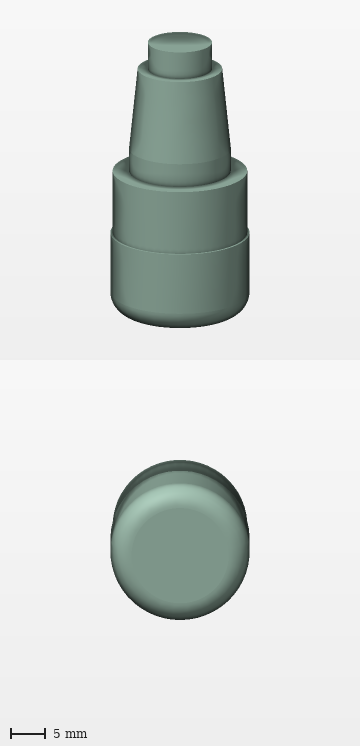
import cadquery as cq

TOTAL_HEIGHT = 40.8
COLLAR_TOP = 12.0
BARREL_TOP = 21.35
NECK_TOP = 24.75
STUB_LENGTH = 4.0
TAPER_TOP = TOTAL_HEIGHT - STUB_LENGTH

COLLAR_DIAMETER = 20.0
BARREL_DIAMETER = 19.35
NECK_DIAMETER = 14.6
TAPER_TOP_DIAMETER = 12.15
STUB_DIAMETER = 9.22

BASE_FILLET = 3.0


def make_housing():
    """Stepped round housing with a tapered top and a rounded base."""
    collar_radius = COLLAR_DIAMETER / 2
    barrel_radius = BARREL_DIAMETER / 2
    neck_radius = NECK_DIAMETER / 2
    profile = (
        cq.Workplane("XZ")
        .lineTo(collar_radius, 0)
        .lineTo(collar_radius, COLLAR_TOP)
        .lineTo(barrel_radius, COLLAR_TOP)
        .lineTo(barrel_radius, BARREL_TOP)
        .lineTo(neck_radius, BARREL_TOP)
        .lineTo(neck_radius, NECK_TOP)
        .lineTo(TAPER_TOP_DIAMETER / 2, TAPER_TOP)
        .lineTo(0, TAPER_TOP)
        .close()
    )
    body = profile.revolve(360, (0, 0, 0), (0, 1, 0))
    return body.faces("<Z").edges().fillet(BASE_FILLET)


def make_stub():
    """Plain cylinder standing on the tapered end of the housing."""
    return (
        cq.Workplane("XY")
        .workplane(offset=TAPER_TOP)
        .circle(STUB_DIAMETER / 2)
        .extrude(STUB_LENGTH)
    )


housing = make_housing()
stub = make_stub()

result = cq.Compound.makeCompound([housing.val(), stub.val()])